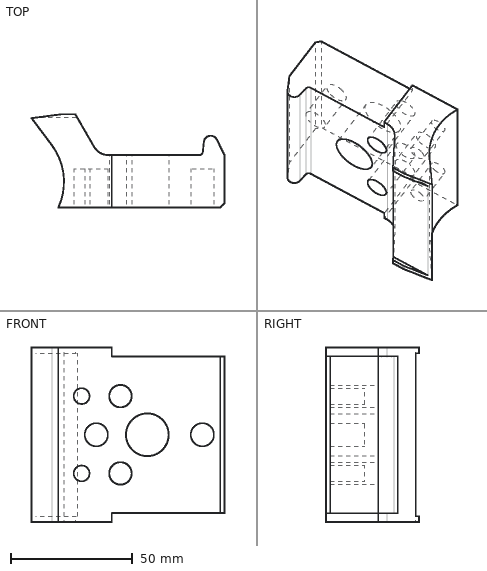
import cadquery as cq
import math

length = 79.45
depth = 38.45
height = 71.8

horn_corner_y = 36.8
horn_flat_start_x = 12.7
horn_flat_end_x = 18.0
horn_slope = 60.0
root_radius = 6.75
saddle_radius = 25.3
saddle_deepest_x = 13.35
saddle_center_y = 10.6

relief_floor_y = 37.0
pad_height = 2.5

plate_thickness = 21.6
plate_start_x = 33.1
plate_step = 3.65
edge_chamfer = 1.75
hook_center_x = 73.7
hook_radius = 2.85
hook_top_y = 29.55
hook_draft = 6.0
hook_root_radius = 1.4

bore_diameter = 17.5
bore_x = 47.7
bolt_diameter = 9.1
bolt_x = 36.6
pin_diameter = 6.5
pin_x = 20.65
row_offset = 15.9
dowel_diameter = 9.5
dowel_positions_x = (26.7, 70.3)
blind_depth = 15.9


def point_on_circle(center, radius, angle):
    """Point at an angle in degrees, measured from +X."""
    turn = math.radians(angle)
    return (center[0] + radius * math.cos(turn), center[1] + radius * math.sin(turn))


def extrude_profile(profile):
    return profile.close().extrude(height / 2, both=True)


def fillet_at(body, point, radius):
    """Round the single Z-parallel edge nearest to a profile point."""
    edge = cq.selectors.NearestToPointSelector((point[0], point[1], 0))
    return body.edges("|Z").edges(edge).fillet(radius)


def make_body():
    saddle_center = (saddle_deepest_x - saddle_radius, saddle_center_y)
    to_corner_x = -saddle_center[0]
    to_corner_y = horn_corner_y - saddle_center[1]
    corner_angle = math.degrees(math.atan2(to_corner_y, to_corner_x))
    corner_distance = math.hypot(to_corner_x, to_corner_y)
    saddle_angle = corner_angle - math.degrees(math.acos(saddle_radius / corner_distance))
    saddle_end = point_on_circle(saddle_center, saddle_radius, saddle_angle)
    foot_angle = -math.degrees(math.asin(saddle_center_y / saddle_radius))
    saddle_foot = point_on_circle(saddle_center, saddle_radius, foot_angle)
    saddle_middle = (saddle_deepest_x, saddle_center_y)

    horn_rise = depth - plate_thickness
    horn_root = (horn_flat_end_x + horn_rise / math.tan(math.radians(horn_slope)), plate_thickness)

    hook_center = (hook_center_x, hook_top_y - hook_radius)
    to_edge_x = length - hook_center[0]
    to_edge_y = plate_thickness - hook_center[1]
    edge_angle = math.degrees(math.atan2(to_edge_y, to_edge_x))
    edge_distance = math.hypot(to_edge_x, to_edge_y)
    outer_angle = edge_angle + math.degrees(math.acos(hook_radius / edge_distance))
    hook_outer = point_on_circle(hook_center, hook_radius, outer_angle)
    hook_inner = point_on_circle(hook_center, hook_radius, 180 - hook_draft)
    inner_rise = hook_inner[1] - plate_thickness
    hook_root = (hook_inner[0] - inner_rise * math.tan(math.radians(hook_draft)), plate_thickness)

    profile = (
        cq.Workplane("XY")
        .moveTo(*saddle_foot)
        .threePointArc(saddle_middle, saddle_end)
        .lineTo(0, horn_corner_y)
        .lineTo(horn_flat_start_x, depth)
        .lineTo(horn_flat_end_x, depth)
        .lineTo(*horn_root)
        .lineTo(*hook_root)
        .lineTo(*hook_inner)
        .threePointArc((hook_center_x, hook_top_y), hook_outer)
        .lineTo(length, plate_thickness)
        .lineTo(length, edge_chamfer)
        .lineTo(length - edge_chamfer, 0)
    )
    body = extrude_profile(profile)
    body = fillet_at(body, horn_root, root_radius)
    return fillet_at(body, hook_root, hook_root_radius)


def make_plate_steps():
    """Material removed above and below the narrower plate."""
    narrow_height = height - 2 * plate_step
    block = cq.Workplane("XY").box(length, depth, height, centered=(False, False, True))
    core = cq.Workplane("XY").box(length, depth, narrow_height, centered=(False, False, True))
    return block.cut(core).translate((plate_start_x, 0, 0))


def make_relief():
    relief_height = height - 2 * pad_height
    relief_depth = depth - relief_floor_y
    relief = cq.Workplane("XY").box(length, relief_depth, relief_height, centered=(False, False, True))
    return relief.translate((0, relief_floor_y, 0))


def make_hole(x, z, diameter, hole_depth):
    direction = cq.Vector(0, 1, 0)
    return cq.Solid.makeCylinder(diameter / 2, hole_depth, cq.Vector(x, 0, z), direction)


result = make_body().cut(make_plate_steps()).cut(make_relief())
result = result.cut(make_hole(bore_x, 0, bore_diameter, depth))
for dowel_x in dowel_positions_x:
    result = result.cut(make_hole(dowel_x, 0, dowel_diameter, blind_depth))
for row_z in (-row_offset, row_offset):
    result = result.cut(make_hole(bolt_x, row_z, bolt_diameter, depth))
    result = result.cut(make_hole(pin_x, row_z, pin_diameter, blind_depth))